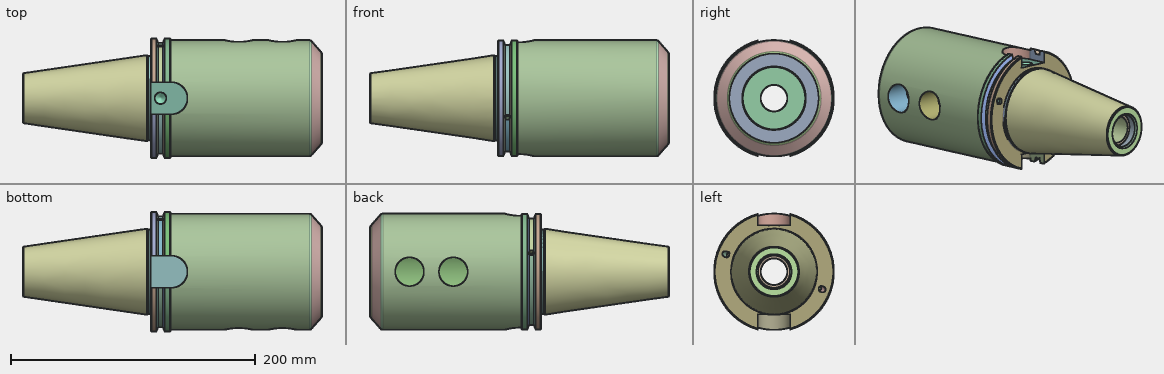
import cadquery as cq
import math

length = 244.5
taper_end = 101.3
flange_start = 104.7
flange_end = 120.8

taper_ratio = 7 / 24
taper_end_radius = 35.2
taper_tip_radius = taper_end_radius - taper_end * taper_ratio / 2
tip_chamfer = 0.7
neck_radius = 69.2 / 2
neck_start = taper_end + 1.2
neck_fillet = 0.7

flange_radius = 98.0 / 2
flange_chamfer = 0.7
groove_center = 112.5
groove_floor_radius = 45.5
groove_floor_width = 4.0
groove_rim_width = 6.8

body_radius = 95.1 / 2
nose_blend_start = 233.8
nose_cone_start = 235.8
nose_cone_start_radius = 46.7
nose_cone_end = 243.1
nose_cone_end_radius = 38.5
nose_face_radius = 36.5

bore_diameter = 21.5
counterbore_diameter = 26.2
counterbore_depth = 7.3
counterbore_mouth_diameter = 28.9
socket_diameter = 50.9
socket_mouth_diameter = 52.0
socket_depth = 102.7

keyway_width = 26.2
keyway_end = 134.5
top_keyway_floor = 38.0
bottom_keyway_floor = 34.7
dimple_diameter = 9.5
dimple_depth = dimple_diameter / 2

screw_hole_diameter = 23.5
screw_hole_positions = (176.4, 212.0)

coolant_angle = 20.0
face_hole_diameter = 5.0
face_hole_radius = 41.8
groove_hole_diameter = 4.2
coolant_meeting_radius = 36.7


def make_outer_body():
    floor_start = groove_center - groove_floor_width / 2
    floor_end = groove_center + groove_floor_width / 2
    rim_start = groove_center - groove_rim_width / 2
    rim_end = groove_center + groove_rim_width / 2
    flange_edge_radius = flange_radius - flange_chamfer
    profile = (
        cq.Workplane("XY")
        .moveTo(0, 0)
        .lineTo(0, taper_tip_radius - tip_chamfer)
        .lineTo(tip_chamfer, taper_tip_radius + tip_chamfer * taper_ratio / 2)
        .lineTo(taper_end, taper_end_radius)
        .lineTo(neck_start, neck_radius)
        .lineTo(flange_start - neck_fillet, neck_radius)
        .radiusArc((flange_start, neck_radius + neck_fillet), -neck_fillet)
        .lineTo(flange_start, flange_edge_radius)
        .lineTo(flange_start + flange_chamfer, flange_radius)
        .lineTo(rim_start, flange_radius)
        .lineTo(floor_start, groove_floor_radius)
        .lineTo(floor_end, groove_floor_radius)
        .lineTo(rim_end, flange_radius)
        .lineTo(flange_end - flange_chamfer, flange_radius)
        .lineTo(flange_end, flange_edge_radius)
        .lineTo(flange_end, body_radius)
        .lineTo(nose_blend_start, body_radius)
        .tangentArcPoint((nose_cone_start, nose_cone_start_radius), relative=False)
        .lineTo(nose_cone_end, nose_cone_end_radius)
        .lineTo(length, nose_face_radius)
        .lineTo(length, 0)
        .close()
    )
    return profile.revolve(360, (0, 0, 0), (1, 0, 0))


def make_bore():
    mouth_depth = (counterbore_mouth_diameter - counterbore_diameter) / 2
    socket_chamfer = (socket_mouth_diameter - socket_diameter) / 2
    profile = (
        cq.Workplane("XY")
        .moveTo(0, 0)
        .lineTo(0, counterbore_mouth_diameter / 2)
        .lineTo(mouth_depth, counterbore_diameter / 2)
        .lineTo(counterbore_depth, counterbore_diameter / 2)
        .lineTo(counterbore_depth, bore_diameter / 2)
        .lineTo(length - socket_depth, bore_diameter / 2)
        .lineTo(length - socket_depth, socket_diameter / 2)
        .lineTo(length - socket_chamfer, socket_diameter / 2)
        .lineTo(length, socket_mouth_diameter / 2)
        .lineTo(length, 0)
        .close()
    )
    return profile.revolve(360, (0, 0, 0), (1, 0, 0))


def make_keyway(floor, side):
    """Round-ended slot, open at the flange face; side is +1 for top, -1 for bottom."""
    half_width = keyway_width / 2
    arc_center = keyway_end - half_width
    return (
        cq.Workplane("XY")
        .workplane(offset=side * floor)
        .moveTo(flange_start, -half_width)
        .lineTo(arc_center, -half_width)
        .threePointArc((keyway_end, 0), (arc_center, half_width))
        .lineTo(flange_start, half_width)
        .close()
        .extrude(side * (flange_radius - floor))
    )


def make_dimple():
    rim = cq.Vector(groove_center, 0, top_keyway_floor)
    return cq.Workplane(cq.Solid.makeCone(dimple_diameter / 2, 0, dimple_depth, rim, cq.Vector(0, 0, -1)))


def make_screw_hole(x):
    start = cq.Vector(x, 0, 0)
    return cq.Workplane(
        cq.Solid.makeCylinder(screw_hole_diameter / 2, flange_radius, start, cq.Vector(0, 1, 0))
    )


def make_coolant_passage(angle):
    """Radial hole from the groove floor, met by a slanted hole from the flange face."""
    radial = cq.Vector(0, math.cos(math.radians(angle)), math.sin(math.radians(angle)))
    meeting = cq.Vector(groove_center, 0, 0) + radial * coolant_meeting_radius
    mouth = cq.Vector(flange_start, 0, 0) + radial * face_hole_radius
    slant = mouth - meeting
    overshoot = face_hole_diameter / 2
    groove_hole = cq.Solid.makeCylinder(
        groove_hole_diameter / 2, flange_radius - coolant_meeting_radius, meeting, radial
    )
    face_hole = cq.Solid.makeCylinder(
        face_hole_diameter / 2, slant.Length + overshoot, meeting, slant
    )
    return cq.Workplane(groove_hole).union(cq.Workplane(face_hole))


result = make_outer_body().cut(make_bore())
result = result.cut(make_keyway(top_keyway_floor, 1))
result = result.cut(make_keyway(bottom_keyway_floor, -1))
result = result.cut(make_dimple())
for screw_x in screw_hole_positions:
    result = result.cut(make_screw_hole(screw_x))
for passage_angle in (coolant_angle, coolant_angle + 180):
    result = result.cut(make_coolant_passage(passage_angle))